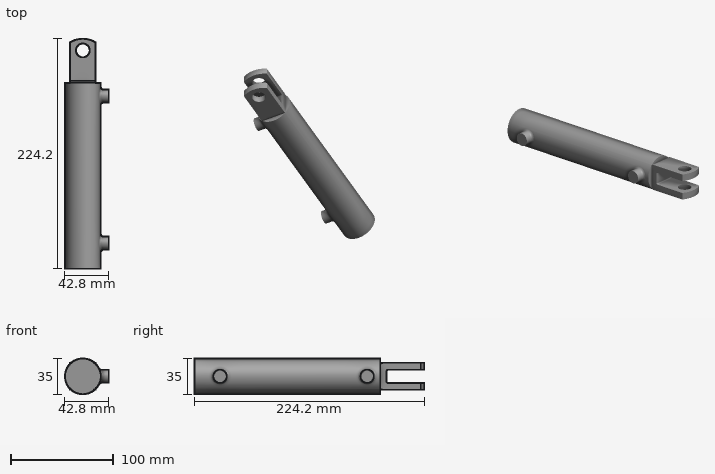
import cadquery as cq

total_length = 224.2
body_diameter = 35.0
body_length = 181.1

fork_width = 25.0
fork_height = 26.5
slot_height = 12.5
slot_depth = 36.8
slot_corner_radius = 1.0
tip_arc_rise = 3.5
pin_hole_diameter = 13.2
pin_hole_from_tip = 11.5
base_bevel_length = 2.0
base_bevel_drop = 0.7

port_diameter = 13.0
port_reach = 25.3
port_positions = (25.0, 168.3)
port_fillet_radius = 2.5


def make_body():
    """Barrel with its flat front face at Y = 0."""
    barrel = cq.Workplane("XZ").circle(body_diameter / 2).extrude(-body_length)
    return barrel.rotate((0, 0, 0), (0, 1, 0), -90)


def make_port(y):
    """Round stub reaching from the cylinder axis out to +X."""
    return cq.Workplane("YZ").center(y, 0).circle(port_diameter / 2).extrude(port_reach)


def make_fork():
    """Two-pronged clevis with a rounded tip and a bevelled base."""
    half_width = fork_width / 2
    shoulder_y = total_length - tip_arc_rise
    blank = (
        cq.Workplane("XY")
        .moveTo(-half_width, body_length)
        .lineTo(half_width, body_length)
        .lineTo(half_width, shoulder_y)
        .threePointArc((0, total_length), (-half_width, shoulder_y))
        .close()
        .extrude(fork_height / 2, both=True)
    )

    half_height = fork_height / 2
    base_half_height = half_height - base_bevel_drop
    bevel_end = body_length + base_bevel_length
    profile = (
        cq.Workplane("YZ")
        .polyline([
            (body_length, -base_half_height),
            (bevel_end, -half_height),
            (total_length, -half_height),
            (total_length, half_height),
            (bevel_end, half_height),
            (body_length, base_half_height),
        ])
        .close()
        .extrude(half_width, both=True)
    )

    slot = (
        cq.Workplane("XY")
        .box(fork_width, slot_depth, slot_height)
        .translate((0, total_length - slot_depth / 2, 0))
        .edges("<Y and |X")
        .fillet(slot_corner_radius)
    )
    pin_hole = (
        cq.Workplane("XY")
        .center(0, total_length - pin_hole_from_tip)
        .circle(pin_hole_diameter / 2)
        .extrude(fork_height, both=True)
    )
    return blank.intersect(profile).cut(slot).cut(pin_hole)


def port_root_edges(barrel):
    """Closed curves where the ports meet the barrel."""
    half_size = (port_diameter + port_fillet_radius) / 2
    first_y = min(port_positions) - half_size
    last_y = max(port_positions) + half_size
    root_zone = cq.selectors.BoxSelector(
        (body_diameter / 4, first_y, -half_size),
        (body_diameter / 2, last_y, half_size),
    )
    return barrel.edges(root_zone)


barrel = make_body()
for port_y in port_positions:
    barrel = barrel.union(make_port(port_y))
barrel = port_root_edges(barrel).fillet(port_fillet_radius)

result = barrel.union(make_fork())